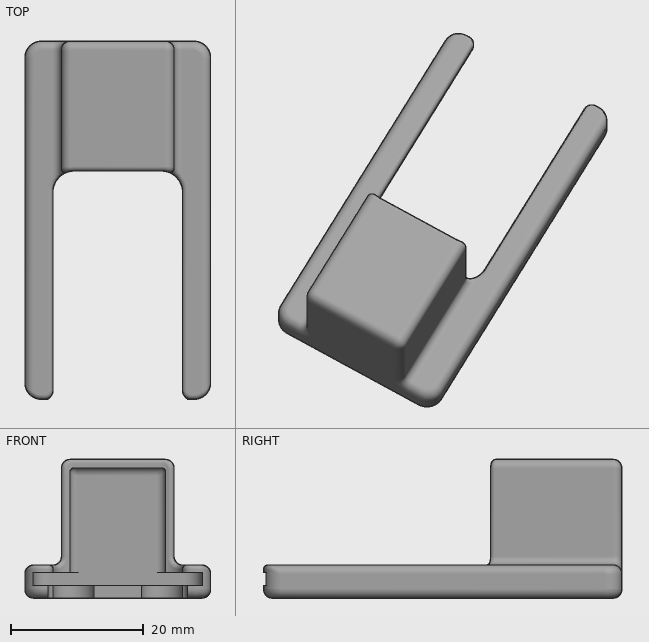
import cadquery as cq

width = 28.0
length = 54.0
height = 20.95

plate_height = 5.0
corner_radius = 2.55
edge_radius = 1.35
lip_radius = 0.65
tip_inner_radius = 1.3

tower_width = 17.0
foot_radius = 1.25
wall = 1.3
cavity_edge_radius = 0.65
cavity_back_radius = 1.2

opening_width = tower_width + 2 * foot_radius
opening_back = 19.6
opening_radius = 3.15

lower_opening_width = 20.95
lower_opening_back = 3.85
lower_opening_radius = 1.4
scallop_radius = 3.25
scallop_spacing = 13.3
scallop_back = 1.7

slot_width = 25.5
slot_bottom = 1.95
slot_top = 3.9
slot_corner_radius = 2.6

margin = 5.4


def make_upper_opening():
    """Cutter for the gap between the arms, flared to round the inner tip corners."""
    half = opening_width / 2
    mouth_half = half + tip_inner_radius
    mouth_front = -length - margin
    flare_end = -length + tip_inner_radius
    return (
        cq.Workplane("XY", origin=(0, 0, slot_bottom))
        .moveTo(-mouth_half, mouth_front)
        .lineTo(-mouth_half, -length)
        .radiusArc((-half, flare_end), -tip_inner_radius)
        .lineTo(-half, -opening_back)
        .lineTo(half, -opening_back)
        .lineTo(half, flare_end)
        .radiusArc((mouth_half, -length), -tip_inner_radius)
        .lineTo(mouth_half, mouth_front)
        .close()
        .extrude(height)
        .edges("|Z and >Y")
        .fillet(opening_radius)
    )


def rounded_channel(channel_width, back, radius, bottom, top):
    """Cutter open toward -Y, with rounded corners at its back."""
    depth = length + margin - back
    return (
        cq.Workplane("XY", origin=(0, -back - depth / 2, bottom))
        .rect(channel_width, depth)
        .extrude(top - bottom)
        .edges("|Z and >Y")
        .fillet(radius)
    )


def make_lower_opening():
    """Cutter below the slot: a straight channel ending in two scallops."""
    channel = rounded_channel(
        lower_opening_width, lower_opening_back, lower_opening_radius, 0, slot_bottom
    )
    scallops = (
        cq.Workplane("XY", origin=(0, -scallop_back - scallop_radius, 0))
        .pushPoints([(-scallop_spacing / 2, 0), (scallop_spacing / 2, 0)])
        .circle(scallop_radius)
        .extrude(slot_bottom)
    )
    return channel.union(scallops)


def make_blank():
    """Plate and tower in one piece, rounded along the back, sides and top."""
    half = tower_width / 2
    foot_top = plate_height + foot_radius
    foot_reach = half + foot_radius
    plate_length = length + margin
    plate = (
        cq.Workplane("XY", origin=(0, -plate_length / 2, 0))
        .rect(width, plate_length)
        .extrude(plate_height)
        .edges("|Z and >Y")
        .fillet(corner_radius)
    )
    tower = (
        cq.Workplane("XZ")
        .moveTo(-foot_reach, 0)
        .lineTo(-foot_reach, plate_height)
        .radiusArc((-half, foot_top), -foot_radius)
        .lineTo(-half, height)
        .lineTo(half, height)
        .lineTo(half, foot_top)
        .radiusArc((foot_reach, plate_height), -foot_radius)
        .lineTo(foot_reach, 0)
        .close()
        .extrude(opening_back + opening_radius)
    )
    blank = plate.union(tower).edges("|Y and >Z").fillet(edge_radius)
    return blank.faces(">Y").edges("not |Z").fillet(edge_radius)


def make_tip_limit():
    """Block that rounds the outer corners and lower edges of the arm tips."""
    limit_length = length + margin
    return (
        cq.Workplane("XY", origin=(0, limit_length / 2 - length, 0))
        .rect(width, limit_length)
        .extrude(height)
        .edges("|Z and <Y")
        .fillet(corner_radius)
        .edges("<Y and <Z")
        .fillet(edge_radius)
    )


def make_cavity():
    """Hollow of the tower, open at the front and down into the slot."""
    inner_width = tower_width - 2 * wall
    depth = opening_back + margin
    return (
        cq.Workplane("XY", origin=(0, -wall - depth / 2, slot_bottom))
        .rect(inner_width, depth)
        .extrude(height - wall - slot_bottom)
        .edges("|Y and >Z")
        .fillet(cavity_edge_radius)
        .faces(">Y")
        .edges("not <Z")
        .fillet(cavity_back_radius)
    )


def round_lip(body):
    """Round the front edge of the tower, continuing along the arms and round their tips."""
    arm_edges = cq.selectors.BoxSelector(
        (-width / 2, -length + corner_radius, plate_height - lip_radius),
        (width / 2, -opening_back - opening_radius, plate_height + lip_radius),
    )
    inner_edges = cq.selectors.BoxSelector(
        (-opening_width / 2 - lip_radius, -length, 0),
        (opening_width / 2 + lip_radius, 0, height),
    )
    return body.edges(arm_edges).edges(inner_edges).fillet(lip_radius)


body = make_blank().intersect(make_tip_limit())
body = body.cut(make_upper_opening()).cut(make_lower_opening())
body = round_lip(body)
slot = rounded_channel(slot_width, wall, slot_corner_radius, slot_bottom, slot_top)
result = body.cut(make_cavity()).cut(slot)